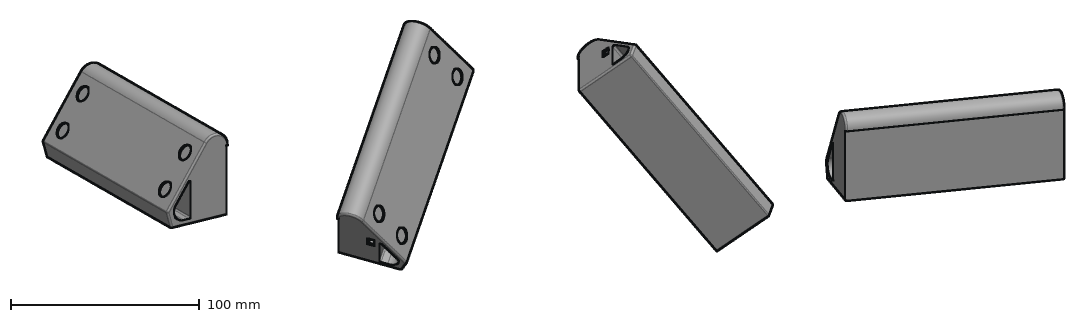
import cadquery as cq
import math

length = 121.0
height = 47.9

crown_radius = 8.1
back_lip = 1.2
base_depth = 35.0
nose_depth = 37.8
nose_height = 9.8
long_edge_fillet = 0.7
end_fillet = 1.1

recess_diameter = 8.7
recess_depth = 0.8
recess_inset = 11.1
recess_heights = (18.3, 36.4)

channel_back = 22.7
channel_floor = 3.3
channel_nose_radius = 6.0
channel_corner_radius = 0.8
slope_wall = 2.8

switch_mouth_width = 4.1
switch_mouth_height = 6.3
switch_center_y = -18.0
switch_center_z = 23.2
switch_chamfer = 0.6
switch_depth = 3.6

crown_y = back_lip - crown_radius
crown_z = height - crown_radius
nose_run = nose_depth + crown_y
nose_drop = crown_z - nose_height
nose_distance = math.hypot(nose_run, nose_drop)
slope_tilt = math.acos(crown_radius / nose_distance) - math.atan2(nose_drop, nose_run)
normal_y = -math.cos(slope_tilt)
normal_z = math.sin(slope_tilt)


def slope_y(z, inset=0.0):
    """Y at height z on the sloping plane moved inward by inset."""
    return crown_y + (crown_radius - inset - (z - crown_z) * normal_z) / normal_y


def slope_z(y, inset=0.0):
    """Z at depth y on the sloping plane moved inward by inset."""
    return crown_z + (crown_radius - inset - (y - crown_y) * normal_y) / normal_z


def make_body():
    slope_top = (crown_y + crown_radius * normal_y, crown_z + crown_radius * normal_z)
    body = (
        cq.Workplane("YZ")
        .lineTo(0, crown_z)
        .lineTo(back_lip, crown_z)
        .threePointArc((crown_y, height), slope_top)
        .lineTo(-nose_depth, nose_height)
        .lineTo(-base_depth, 0)
        .close()
        .extrude(length)
    )
    for y, z in ((-nose_depth, nose_height), (-base_depth, 0)):
        edge = cq.selectors.NearestToPointSelector((length / 2, y, z))
        body = body.edges(edge).fillet(long_edge_fillet)
    in_front_of_back = cq.selectors.BoxSelector(
        (-end_fillet, -nose_depth, -end_fillet), (length + end_fillet, 0, height)
    )
    body = body.faces("<X or >X").edges("not(|Z)").edges(in_front_of_back)
    return body.fillet(end_fillet)


def make_channel():
    top_z = slope_z(-channel_back, slope_wall)
    nose_y = slope_y(channel_floor, slope_wall)
    channel = (
        cq.Workplane("YZ")
        .moveTo(-channel_back, channel_floor)
        .lineTo(-channel_back, top_z)
        .lineTo(nose_y, channel_floor)
        .close()
        .extrude(length)
    )
    channel = channel.edges("|X and <Y").fillet(channel_nose_radius)
    return channel.edges("|X and >Y").fillet(channel_corner_radius)


def make_recess(x, z):
    face = cq.Plane((x, slope_y(z), z), xDir=(1, 0, 0), normal=(0, normal_y, normal_z))
    return cq.Workplane(face).circle(recess_diameter / 2).extrude(-recess_depth)


def make_switch_pocket():
    end_face = cq.Workplane("YZ").center(switch_center_y, switch_center_z)
    inner_width = switch_mouth_width - 2 * switch_chamfer
    inner_height = switch_mouth_height - 2 * switch_chamfer
    mouth = (
        end_face.rect(switch_mouth_width, switch_mouth_height)
        .workplane(offset=switch_chamfer)
        .rect(inner_width, inner_height)
        .loft()
    )
    return mouth.union(end_face.rect(inner_width, inner_height).extrude(switch_depth))


result = make_body().cut(make_channel()).cut(make_switch_pocket())
for recess_x in (recess_inset, length - recess_inset):
    for recess_z in recess_heights:
        result = result.cut(make_recess(recess_x, recess_z))